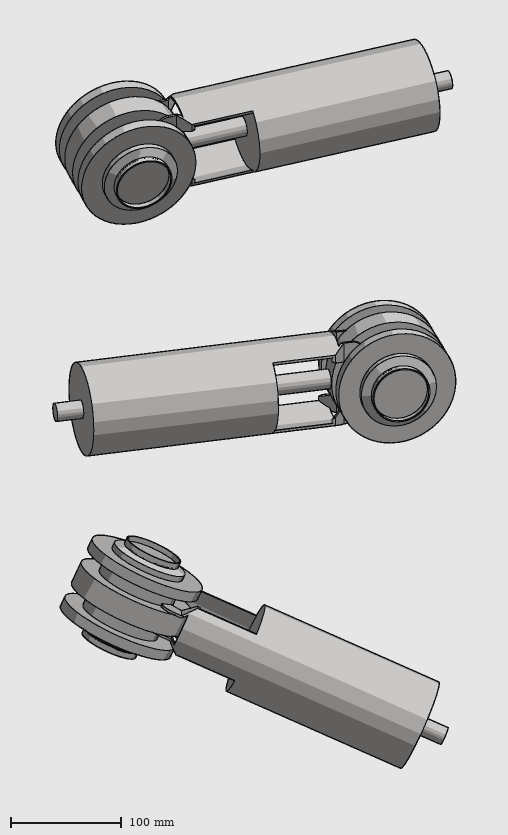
import cadquery as cq
import math


disc_radius = 55.0
center_disc_half_width = 10.5
outer_disc_inner_x = 25.0
outer_disc_outer_x = 34.8
hub_radius = 37.0
boss_radius = 35.0
boss_cone_start_x = 40.3
boss_cone_end_x = 43.2
collar_radius = 26.7
collar_end_x = 49.0
recess_radius = 25.5
recess_depth = 5.0

housing_radius = 43.0
wall = 2.2
barrel_front_y = 113.5
barrel_back_y = 286.5
tail_radius = 8.5
tail_end_y = 311.2
rod_radius = 9.0
rod_end_y = disc_radius

tongue_half_width = 23.8
tongue_end_y = 49.5
bend_start_y = 55.0
rib_inner_x = center_disc_half_width
rib_outer_x = rib_inner_x + wall
rib_tip_y = 24.5
rib_corner_radius = 12.0
rib_lower_slope = 0.5


def cylinder_along_y(radius, start_y, end_y):
    """Solid cylinder about the Y axis between two Y positions."""
    start = cq.Vector(0, start_y, 0)
    return cq.Workplane(cq.Solid.makeCylinder(radius, end_y - start_y, start, cq.Vector(0, 1, 0)))


def make_roller():
    """Three discs on a hub, with tapered bosses and recessed collars at both ends."""
    half_profile = [
        (center_disc_half_width, disc_radius),
        (center_disc_half_width, hub_radius),
        (outer_disc_inner_x, hub_radius),
        (outer_disc_inner_x, disc_radius),
        (outer_disc_outer_x, disc_radius),
        (outer_disc_outer_x, boss_radius),
        (boss_cone_start_x, boss_radius),
        (boss_cone_end_x, collar_radius),
        (collar_end_x, collar_radius),
        (collar_end_x, recess_radius),
        (collar_end_x - recess_depth, recess_radius),
        (collar_end_x - recess_depth, 0),
    ]
    mirrored_profile = [(-x, radius) for x, radius in reversed(half_profile)]
    outline = cq.Workplane("XY").polyline(half_profile + mirrored_profile).close()
    return outline.revolve(360, (0, 0, 0), (1, 0, 0))


def make_tongues():
    """Upper and lower strips of the housing wall that reach forward from the barrel."""
    tube = cylinder_along_y(housing_radius, tongue_end_y, barrel_front_y)
    tube = tube.cut(cylinder_along_y(housing_radius - wall, tongue_end_y, barrel_front_y))
    tip_half_width = tongue_half_width - (bend_start_y - tongue_end_y)
    strip = (
        cq.Workplane("XY")
        .polyline([
            (-tongue_half_width, barrel_front_y),
            (-tongue_half_width, bend_start_y),
            (-tip_half_width, tongue_end_y),
            (tip_half_width, tongue_end_y),
            (tongue_half_width, bend_start_y),
            (tongue_half_width, barrel_front_y),
        ])
        .close()
        .extrude(housing_radius, both=True)
    )
    return tube.intersect(strip)


def make_upper_rib():
    """Rib on the +X, +Z side: bends in from the tongue edge, then runs along the center disc to the hub."""
    bend_wall_y = wall * math.sqrt(2)
    bend_back_y = bend_start_y + bend_wall_y
    plan = (
        cq.Workplane("XY")
        .polyline([
            (tongue_half_width, bend_start_y),
            (tongue_half_width, bend_back_y),
            (rib_inner_x, bend_back_y - (tongue_half_width - rib_inner_x)),
            (rib_inner_x, 0),
            (rib_outer_x, 0),
            (rib_outer_x, bend_start_y - (tongue_half_width - rib_outer_x)),
        ])
        .close()
        .extrude(housing_radius)
    )

    top_z = math.sqrt(housing_radius**2 - rib_outer_x**2)
    corner_y = rib_tip_y + rib_corner_radius
    corner_z = top_z - rib_corner_radius
    corner_offset = rib_corner_radius * math.sqrt(0.5)
    side = (
        cq.Workplane("YZ")
        .moveTo(rib_tip_y, rib_lower_slope * rib_tip_y)
        .lineTo(bend_back_y, rib_lower_slope * bend_back_y)
        .lineTo(bend_back_y, top_z)
        .lineTo(corner_y, top_z)
        .threePointArc((corner_y - corner_offset, corner_z + corner_offset), (rib_tip_y, corner_z))
        .close()
        .extrude(tongue_half_width)
    )

    hub = cq.Workplane("YZ").circle(hub_radius).extrude(tongue_half_width)
    housing_envelope = cylinder_along_y(housing_radius, 0, bend_back_y)
    return plan.intersect(side).intersect(housing_envelope).cut(hub)


def make_holder():
    """Barrel with its tail, push rod, two tongues and four ribs, all one solid."""
    holder = cylinder_along_y(housing_radius, barrel_front_y, barrel_back_y)
    holder = holder.union(cylinder_along_y(tail_radius, barrel_back_y, tail_end_y))
    holder = holder.union(cylinder_along_y(rod_radius, rod_end_y, barrel_front_y))
    holder = holder.union(make_tongues())

    rib = make_upper_rib()
    rib_pair = [rib, rib.mirror("YZ")]
    for upper_rib in rib_pair:
        holder = holder.union(upper_rib).union(upper_rib.mirror("XY"))
    return holder


roller = make_roller()
holder = make_holder()

result = cq.Compound.makeCompound([holder.solids().val(), roller.val()])